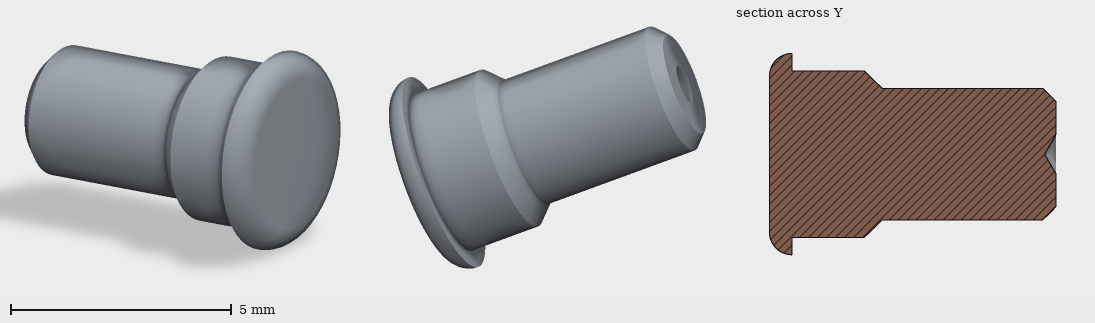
import cadquery as cq
import math

length = 6.51
shank_radius = 1.5
collar_radius = 1.895
flange_radius = 2.29
tip_chamfer = 0.305
shoulder_start = 3.945
shoulder_length = 0.41
flange_thickness = 0.52
center_radius = 0.45
center_angle = 120.0

shoulder_end = shoulder_start + shoulder_length
flange_start = length - flange_thickness
center_depth = center_radius / math.tan(math.radians(center_angle / 2))

flange_round = flange_thickness
end_face_radius = flange_radius - flange_round
mid_offset = flange_round * math.sqrt(0.5)
round_middle = (flange_start + mid_offset, end_face_radius + mid_offset)

profile = (
    cq.Workplane("XZ")
    .moveTo(center_depth, 0)
    .lineTo(0, center_radius)
    .lineTo(0, shank_radius - tip_chamfer)
    .lineTo(tip_chamfer, shank_radius)
    .lineTo(shoulder_start, shank_radius)
    .lineTo(shoulder_end, collar_radius)
    .lineTo(flange_start, collar_radius)
    .lineTo(flange_start, flange_radius)
    .threePointArc(round_middle, (length, end_face_radius))
    .lineTo(length, 0)
    .close()
)

result = profile.revolve(360, (0, 0, 0), (1, 0, 0))